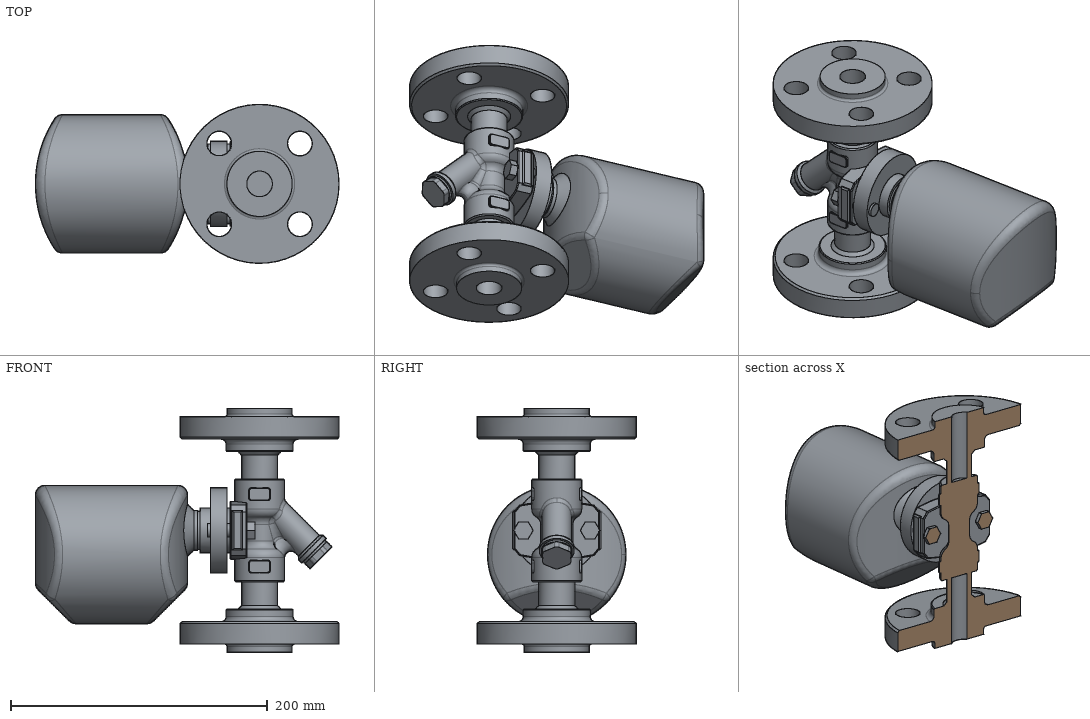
import cadquery as cq
import math

face_to_face = 190.0
flange_diameter = 124.0
flange_outer_z = 88.6
flange_inner_z = 71.0
flange_edge_chamfer = 1.6
raised_face_diameter = 50.8
raised_face_fillet = 2.0
bolt_circle_diameter = 88.9
bolt_hole_diameter = 19.0
bolt_hole_count = 4
first_bolt_hole_angle = 45.0
hub_diameter = 52.4
hub_end_z = 61.3
hub_root_fillet = 3.8
hub_edge_chamfer = 0.8
weld_height = 2.7
pipe_diameter = 28.2
pipe_end_z = 30.0
bore_diameter = 20.0
bore_depth = 55.0

collar_diameter = 39.0
collar_end_z = 40.1
collar_edge_chamfer = 1.0
core_diameter = 25.0
upper_shoulder_z = 16.5
upper_core_z = 4.4
lower_shoulder_z = -21.0
lower_core_z = -8.4
pad_width = 17.0
pad_height = 10.2
pad_corner_radius = 2.5
pad_chamfer = 0.6
pad_face_y = 19.8
pad_centre_heights = (28.2, -28.2)

branch_axis_z = 26.5
branch_diameter = 23.0
branch_fillet = 5.0
cap_start = 54.4
cap_chamfer = 2.0
cap_diameter = 27.2
cap_end = 60.0
plug_groove_diameter = 24.0
plug_hex_start = 62.0
plug_end = 67.8
plug_across_flats = 22.0
plug_corner_radius = 3.7

block_back_x = -9.6
block_front_x = -23.2
block_half_width = 33.2
block_half_height = 22.6
facet_inner_y = 29.0
facet_inner_z = 19.6
facet_outer_z = 14.5
block_edge_chamfer = 0.8
panel_width = 8.0
panel_half_length = 15.4
panel_face_y = 34.4
panel_centre_x = -17.3
panel_chamfer = 1.2
plate_diameter = 66.8
plate_back_x = -25.2
plate_front_x = -38.4
sleeve_diameter = 35.0
sleeve_front_x = -46.3
neck_diameter = 31.0
neck_groove_end_x = -48.3
neck_groove_diameter = 30.0
cone_start_x = -51.2
cone_end_x = -62.0
bolt_offset_y = 26.0
bolt_head_diameter = 10.5
bolt_head_height = 2.0
nut_across_flats = 13.2
nut_height = 5.9

housing_diameter = 108.0
housing_axis_z = -18.9
housing_back_x = -56.1
overall_length = 236.69
housing_length = overall_length - flange_diameter / 2 + housing_back_x
end_bulge_radius = 93.0
slope_run = 28.7
housing_fillet = 7.5


def cylinder_x(diameter, x_from, x_to, y=0.0):
    """Cylinder along X at Z = 0."""
    return cq.Workplane("YZ", origin=(x_from, y, 0)).circle(diameter / 2).extrude(x_to - x_from)


def across_corners(across_flats):
    """Diameter through the corners of a hexagon of the given width across flats."""
    return across_flats / math.cos(math.pi / 6)


def make_flange():
    """Upper weld-neck flange, turned about Z."""
    half_length = face_to_face / 2
    raised_r = raised_face_diameter / 2
    flange_r = flange_diameter / 2
    hub_r = hub_diameter / 2
    pipe_r = pipe_diameter / 2
    profile = (
        cq.Workplane("XZ")
        .moveTo(0, half_length)
        .lineTo(raised_r, half_length)
        .lineTo(raised_r, flange_outer_z + raised_face_fillet)
        .radiusArc((raised_r + raised_face_fillet, flange_outer_z), -raised_face_fillet)
        .lineTo(flange_r, flange_outer_z)
        .lineTo(flange_r, flange_inner_z + flange_edge_chamfer)
        .lineTo(flange_r - flange_edge_chamfer, flange_inner_z)
        .lineTo(hub_r + hub_root_fillet, flange_inner_z)
        .radiusArc((hub_r, flange_inner_z - hub_root_fillet), -hub_root_fillet)
        .lineTo(hub_r, hub_end_z + hub_edge_chamfer)
        .lineTo(hub_r - hub_edge_chamfer, hub_end_z)
        .lineTo(pipe_r + weld_height, hub_end_z)
        .lineTo(pipe_r, hub_end_z - weld_height)
        .lineTo(pipe_r, pipe_end_z)
        .lineTo(0, pipe_end_z)
        .close()
    )
    flange = profile.revolve(360, (0, 0, 0), (0, 1, 0))
    holes = (
        cq.Workplane("XY", origin=(0, 0, flange_inner_z))
        .polarArray(bolt_circle_diameter / 2, first_bolt_hole_angle, 360, bolt_hole_count)
        .circle(bolt_hole_diameter / 2)
        .extrude(flange_outer_z - flange_inner_z)
    )
    bore = cq.Workplane("XY", origin=(0, 0, half_length)).circle(bore_diameter / 2).extrude(-bore_depth)
    return flange.cut(holes).cut(bore)


def make_body():
    """Two collars joined by S-shaped shoulders to a narrower core."""
    collar_r = collar_diameter / 2
    core_r = core_diameter / 2
    mean_r = (collar_r + core_r) / 2
    upper_mean_z = (upper_shoulder_z + upper_core_z) / 2
    lower_mean_z = (lower_shoulder_z + lower_core_z) / 2
    profile = (
        cq.Workplane("XZ")
        .moveTo(0, collar_end_z)
        .lineTo(collar_r - collar_edge_chamfer, collar_end_z)
        .lineTo(collar_r, collar_end_z - collar_edge_chamfer)
        .lineTo(collar_r, upper_shoulder_z)
        .tangentArcPoint((mean_r, upper_mean_z), relative=False)
        .tangentArcPoint((core_r, upper_core_z), relative=False)
        .lineTo(core_r, lower_core_z)
        .tangentArcPoint((mean_r, lower_mean_z), relative=False)
        .tangentArcPoint((collar_r, lower_shoulder_z), relative=False)
        .lineTo(collar_r, collar_edge_chamfer - collar_end_z)
        .lineTo(collar_r - collar_edge_chamfer, -collar_end_z)
        .lineTo(0, -collar_end_z)
        .close()
    )
    return profile.revolve(360, (0, 0, 0), (0, 1, 0))


def branch_plane(distance):
    """Plane square to the branch axis, at a distance from the Z axis."""
    step = distance * math.sqrt(0.5)
    return cq.Plane(origin=(step, 0, branch_axis_z - step), xDir=(1, 0, 1), normal=(1, 0, -1))


def add_branch(body):
    tube = cq.Workplane(branch_plane(0)).circle(branch_diameter / 2).extrude(cap_end)
    joined = body.union(tube)
    seam = [edge for edge in joined.edges().vals() if edge.geomType() == "BSPLINE"]
    return joined.newObject(seam).fillet(branch_fillet)


def make_plug():
    """Cap ring, sealing groove and hexagon at the end of the branch."""
    cap = (
        cq.Workplane(branch_plane(cap_start))
        .circle(cap_diameter / 2)
        .extrude(cap_end - cap_start)
        .faces("<(1, 0, -1)")
        .chamfer(cap_chamfer)
    )
    neck = cq.Workplane(branch_plane(cap_end)).circle(plug_groove_diameter / 2)
    neck = neck.extrude(plug_hex_start - cap_end)
    hexagon = (
        cq.Workplane(branch_plane(plug_hex_start))
        .polygon(6, across_corners(plug_across_flats))
        .extrude(plug_end - plug_hex_start)
        .edges("|(1, 0, -1)")
        .fillet(plug_corner_radius)
    )
    return cap.union(neck).union(hexagon)


def make_pad(side, height):
    """Flat rounded label pad on the -Y (side = -1) or +Y (side = 1) face of a collar."""
    return (
        cq.Workplane("XY")
        .box(pad_width, pad_face_y, pad_height)
        .edges("|Y")
        .fillet(pad_corner_radius)
        .faces("<Y or >Y")
        .chamfer(pad_chamfer)
        .translate((0, side * pad_face_y / 2, height))
    )


def make_block():
    """Bonnet block with arched top and bottom, sloping facets and flat sides."""
    w = block_half_width
    block = (
        cq.Workplane("YZ", origin=(block_front_x, 0, 0))
        .moveTo(-w, -facet_outer_z)
        .lineTo(-w, facet_outer_z)
        .lineTo(-facet_inner_y, facet_inner_z)
        .threePointArc((0, block_half_height), (facet_inner_y, facet_inner_z))
        .lineTo(w, facet_outer_z)
        .lineTo(w, -facet_outer_z)
        .lineTo(facet_inner_y, -facet_inner_z)
        .threePointArc((0, -block_half_height), (-facet_inner_y, -facet_inner_z))
        .close()
        .extrude(block_back_x - block_front_x)
        .faces("<X or >X")
        .chamfer(block_edge_chamfer)
    )
    panel = (
        cq.Workplane("XY", origin=(panel_centre_x, 0, 0))
        .box(panel_width, 2 * panel_face_y, 2 * panel_half_length)
        .faces("<Y or >Y")
        .chamfer(panel_chamfer)
    )
    return block.union(panel)


def make_neck():
    """Mounting plate, sleeve and cone between the bonnet block and the actuator."""
    cone_rise = cone_start_x - cone_end_x
    cone = cylinder_x(neck_diameter, neck_groove_end_x, cone_start_x).union(
        cq.Workplane("XY")
        .moveTo(cone_start_x, 0)
        .lineTo(cone_start_x, neck_diameter / 2)
        .lineTo(cone_end_x, neck_diameter / 2 + cone_rise)
        .lineTo(cone_end_x, 0)
        .close()
        .revolve(360, (0, 0, 0), (1, 0, 0))
    )
    neck = cylinder_x(sleeve_diameter, block_back_x, sleeve_front_x)
    neck = neck.union(cylinder_x(neck_groove_diameter, sleeve_front_x, neck_groove_end_x))
    neck = neck.union(cylinder_x(plate_diameter, plate_back_x, plate_front_x))
    return neck.union(cone)


def make_bolt(side):
    """Bolt through block and plate, round head at the plate and hexagon nut at the block."""
    y = side * bolt_offset_y
    shank = cylinder_x(bolt_head_diameter, block_back_x, plate_front_x - bolt_head_height, y)
    nut = (
        cq.Workplane("YZ", origin=(block_back_x, y, 0))
        .polygon(6, across_corners(nut_across_flats))
        .extrude(nut_height)
    )
    return shank.union(nut)


def make_housing():
    """Round actuator housing with bulging ends, two sloping cuts and rounded edges."""
    radius = housing_diameter / 2
    half = housing_length / 2
    sag = end_bulge_radius - math.sqrt(end_bulge_radius ** 2 - radius ** 2)
    corner_x = half - sag
    plan_outline = (
        cq.Workplane("XY")
        .moveTo(-corner_x, -radius)
        .lineTo(corner_x, -radius)
        .threePointArc((half, 0), (corner_x, radius))
        .lineTo(-corner_x, radius)
        .threePointArc((-half, 0), (-corner_x, -radius))
        .close()
        .extrude(radius, both=True)
    )
    barrel = cylinder_x(housing_diameter, -half, half)
    side_outline = (
        cq.Workplane("XZ")
        .moveTo(-half, radius)
        .lineTo(half, radius)
        .lineTo(half, slope_run - radius)
        .lineTo(half - slope_run, -radius)
        .lineTo(slope_run - half, -radius)
        .lineTo(-half, slope_run - radius)
        .close()
        .extrude(radius, both=True)
    )
    housing = barrel.intersect(plan_outline).intersect(side_outline)
    housing = housing.edges().fillet(housing_fillet)
    return housing.translate((housing_back_x - half, 0, housing_axis_z))


upper_flange = make_flange()
result = upper_flange.union(upper_flange.mirror("XY")).union(add_branch(make_body()))
result = result.union(make_plug()).union(make_block()).union(make_neck()).union(make_housing())
for side in (-1, 1):
    result = result.union(make_bolt(side))
    for height in pad_centre_heights:
        result = result.union(make_pad(side, height))